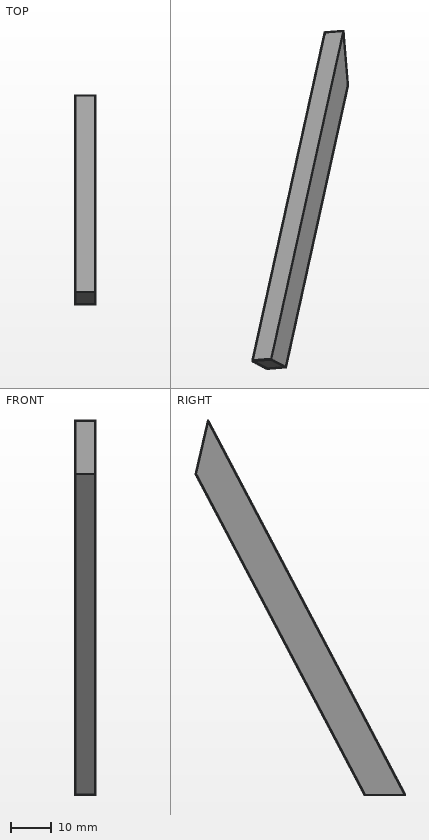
import cadquery as cq
import math

thickness = 5.0
depth = 51.68
height = 92.57
foot_length = 10.0
foot_rise = 0.22
lean_angle = 27.77

lean_ratio = math.tan(math.radians(lean_angle))
tip_y = -(height - foot_rise) * lean_ratio
shoulder_y = -depth
shoulder_z = foot_rise + (depth - foot_length) / lean_ratio

side_outline = [
    (0, 0),
    (-foot_length, 0),
    (-foot_length, foot_rise),
    (shoulder_y, shoulder_z),
    (tip_y, height),
    (0, foot_rise),
]

result = cq.Workplane("YZ").polyline(side_outline).close().extrude(thickness / 2, both=True)